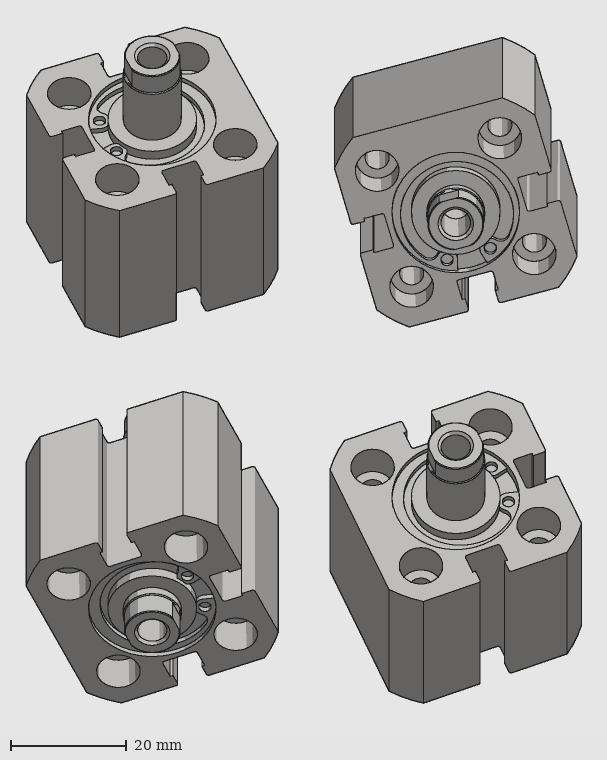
import cadquery as cq
import math


width = 36.0
height = 32.0
corner_radius = 22.45
bore_radius = 11.0
hole_offset = 11.0
hole_diameter = 4.15
counterbore_diameter = 7.5
counterbore_depth = 7.0

slot_mouth = 5.4
slot_inner_width = 6.5
slot_floor = 12.0
slot_lip = 15.6
slot_round = 0.45

flange_depth = 2.0
flange_thickness = 5.0
boss_radius = 7.65

ring_thickness = 1.0
ring_inner_radius = 9.8
ring_inner_shift = 0.8
lug_x = 3.9
lug_y = -8.25
lug_radius = 1.85
lug_hole_diameter = 2.1
lug_fillet = 1.5
gap_half_width = 2.65

rod_radius = 5.0
rod_top_reach = 16.0
rod_length = 54.0
tip_diameter = 9.65
tip_length = 4.2
tip_chamfer = 0.15
flat_distance = 9.0
flat_length = 4.0
thread_diameter = 5.1
thread_mouth_diameter = 6.1
thread_depth = 10.0
drill_point_angle = 118.0

half_width = width / 2
boss_height = flange_depth
flat_runout = tip_length + rod_radius - tip_diameter / 2 - flat_length
rod_bottom = height + rod_top_reach - rod_length


def make_slot():
    """T-slot on the -Y side, over the whole housing height."""
    neck_length = half_width - slot_floor
    neck = cq.Workplane("XY").box(slot_mouth, neck_length, height, centered=(True, False, False))
    neck = neck.translate((0, -half_width, 0))
    channel = (
        cq.Workplane("XY")
        .box(slot_inner_width, slot_lip - slot_floor, height, centered=(True, False, False))
        .translate((0, -slot_lip, 0))
        .edges("|Z and >Y")
        .fillet(slot_round)
    )
    return neck.union(channel)


def round_slot_mouths(body):
    """Round the outer corners of the three slot mouths."""
    half_mouth = slot_mouth / 2
    corners = [(side * half_mouth, -half_width) for side in (-1, 1)]
    corners += [(face * half_width, side * half_mouth) for face in (-1, 1) for side in (-1, 1)]
    for x, y in corners:
        body = body.edges(cq.selectors.NearestToPointSelector((x, y, height / 2))).fillet(slot_round)
    return body


def make_housing():
    body = cq.Workplane("XY").box(width, width, height, centered=(True, True, False))
    body = body.intersect(cq.Workplane("XY").circle(corner_radius).extrude(height))
    for angle in (-90, 0, 90):
        body = body.cut(make_slot().rotate((0, 0, 0), (0, 0, 1), angle))
    body = round_slot_mouths(body)
    body = body.cut(cq.Workplane("XY").circle(bore_radius).extrude(height))
    for x in (-hole_offset, hole_offset):
        for y in (-hole_offset, hole_offset):
            axis = cq.Workplane("XY").center(x, y)
            body = body.cut(axis.circle(hole_diameter / 2).extrude(height))
            counterbore = axis.circle(counterbore_diameter / 2).extrude(counterbore_depth)
            body = body.cut(counterbore)
            body = body.cut(counterbore.translate((0, 0, height - counterbore_depth)))
    return body


def make_end_cover():
    """Upper end cover: a flange that fills the bore, and a boss around the rod."""
    flange_top = height - flange_depth
    cover = cq.Workplane("XY").workplane(offset=flange_top - flange_thickness)
    cover = cover.circle(bore_radius).extrude(flange_thickness)
    boss = cq.Workplane("XY").workplane(offset=flange_top).circle(boss_radius).extrude(boss_height)
    cover = cover.union(boss)
    return cover.cut(cq.Workplane("XY").circle(rod_radius).extrude(height))


def polar(center, radius, angle):
    return (center[0] + radius * math.cos(angle), center[1] + radius * math.sin(angle))


def direction(start, end):
    return math.atan2(end[1] - start[1], end[0] - start[0])


def make_retaining_ring():
    """Upper retaining ring: an eccentric C shape whose gap, on the -Y side, has a lug at each end."""
    lug = (lug_x, lug_y)
    inner_center = (0, -ring_inner_shift)
    gap_corner = (gap_half_width, -math.sqrt(bore_radius**2 - gap_half_width**2))

    corner_to_lug = math.dist(gap_corner, lug)
    tangent_angle = direction(lug, gap_corner) - math.acos(lug_radius / corner_to_lug)
    lug_start = polar(lug, lug_radius, tangent_angle)

    to_lug = lug_radius + lug_fillet
    to_inner = ring_inner_radius - lug_fillet
    spacing = math.dist(inner_center, lug)
    offset_angle = math.acos((to_inner**2 + spacing**2 - to_lug**2) / (2 * to_inner * spacing))
    fillet_center = polar(inner_center, to_inner, direction(inner_center, lug) + offset_angle)
    lug_end_angle = direction(lug, fillet_center)
    lug_end = polar(lug, lug_radius, lug_end_angle)
    lug_middle = polar(lug, lug_radius, (tangent_angle - 2 * math.pi + lug_end_angle) / 2)
    inner_start = polar(inner_center, ring_inner_radius, direction(inner_center, fillet_center))
    fillet_middle_angle = (direction(fillet_center, lug_end) + direction(fillet_center, inner_start)) / 2
    fillet_middle = polar(fillet_center, lug_fillet, fillet_middle_angle)

    def mirrored(point):
        return (-point[0], point[1])

    ring = (
        cq.Workplane("XY")
        .workplane(offset=height - flange_depth)
        .moveTo(*gap_corner)
        .lineTo(*lug_start)
        .threePointArc(lug_middle, lug_end)
        .threePointArc(fillet_middle, inner_start)
        .threePointArc((0, ring_inner_radius - ring_inner_shift), mirrored(inner_start))
        .threePointArc(mirrored(fillet_middle), mirrored(lug_end))
        .threePointArc(mirrored(lug_middle), mirrored(lug_start))
        .lineTo(*mirrored(gap_corner))
        .threePointArc((0, bore_radius), gap_corner)
        .close()
        .extrude(ring_thickness)
    )
    lug_holes = cq.Workplane("XY").pushPoints([lug, mirrored(lug)])
    lug_holes = lug_holes.circle(lug_hole_diameter / 2).extrude(height)
    boss = cq.Workplane("XY").circle(boss_radius).extrude(height)
    return ring.cut(lug_holes).cut(boss)


def make_tip_cut():
    """Material removed at one rod end, as if the end face were at Z = 0 and the rod ran downward."""
    tip_radius = tip_diameter / 2
    turning = (
        cq.Workplane("XZ")
        .moveTo(tip_radius - tip_chamfer, 0)
        .lineTo(tip_radius, -tip_chamfer)
        .lineTo(tip_radius, -tip_length)
        .lineTo(rod_radius, -tip_length - (rod_radius - tip_radius))
        .lineTo(rod_radius, 0)
        .close()
        .revolve(360, (0, 0, 0), (0, 1, 0))
    )
    flat = (
        cq.Workplane("YZ")
        .moveTo(flat_distance / 2, 0)
        .lineTo(flat_distance / 2, -flat_length)
        .lineTo(rod_radius, -flat_length - flat_runout)
        .lineTo(rod_radius, 0)
        .close()
        .extrude(rod_radius, both=True)
    )
    thread_radius = thread_diameter / 2
    mouth_radius = thread_mouth_diameter / 2
    point_length = thread_radius / math.tan(math.radians(drill_point_angle / 2))
    thread_hole = (
        cq.Workplane("XZ")
        .lineTo(mouth_radius, 0)
        .lineTo(thread_radius, thread_radius - mouth_radius)
        .lineTo(thread_radius, -thread_depth)
        .lineTo(0, -thread_depth - point_length)
        .close()
        .revolve(360, (0, 0, 0), (0, 1, 0))
    )
    return turning.union(flat).union(flat.mirror("XZ")).union(thread_hole)


def make_rod():
    rod = cq.Workplane("XY").workplane(offset=rod_bottom).circle(rod_radius).extrude(rod_length)
    tip_cut = make_tip_cut()
    rod = rod.cut(tip_cut.translate((0, 0, rod_bottom + rod_length)))
    return rod.cut(tip_cut.mirror("XY").translate((0, 0, rod_bottom)))


def at_both_ends(upper_body):
    """The upper body and its mirror image at the lower end of the housing."""
    lower_body = upper_body.mirror("XY", (0, 0, height / 2))
    return [upper_body.val(), lower_body.val()]


housing = make_housing()
rod = make_rod()
end_covers = at_both_ends(make_end_cover())
retaining_rings = at_both_ends(make_retaining_ring())

result = cq.Compound.makeCompound([housing.val(), rod.val(), *end_covers, *retaining_rings])